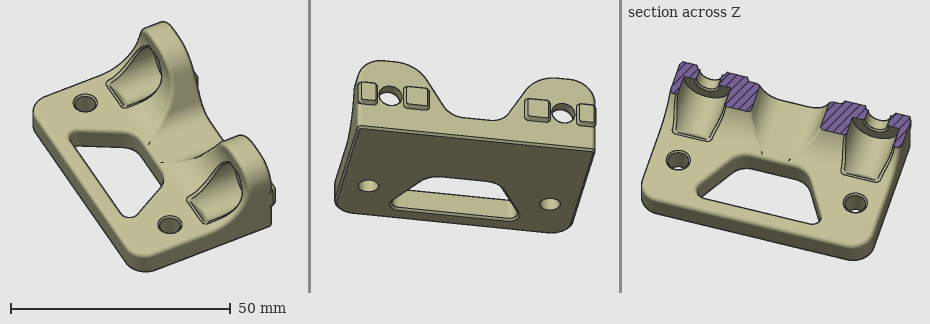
import cadquery as cq
import math

width = 55.0
depth = 35.0
height = 19.5
half_width = width / 2
plate_thickness = 6.0
wall_thickness = 6.0
blend_radius = 10.0
corner_radius = 5.0
edge_radius = 1.0
bottom_chamfer = 0.5

ear_outer_radius = 6.0
ear_inner_radius = 8.5
ear_slope = math.radians(60)
valley_half_width = 6.0
valley_radius = 5.0

bolt_x = 20.0
bolt_z = 9.5
bolt_diameter = 5.3
pocket_radius = 5.5
pocket_floor_y = -3.0
pocket_ramp_y = -15.8
pocket_ramp_fillet = 1.0
pocket_chamfer = 0.45

mount_x = 21.0
mount_y = -23.0
mount_diameter = 4.7
hole_chamfer = 0.4

opening_front_y = -31.0
opening_back_y = -17.0
opening_front_half_width = 16.0
opening_front_radius = 2.0
opening_back_radius = 5.0

pad_size = 6.0
pad_offset = 6.0
pad_height = 1.0
pad_corner_radius = 1.0
pad_taper = 30.0

sides = (-1, 1)


def make_side_profile():
    """Plate and wall seen along x, joined by a concave blend."""
    blend_y = -wall_thickness - blend_radius
    blend_z = plate_thickness + blend_radius
    reach = blend_radius * math.sqrt(0.5)
    return (
        cq.Workplane("YZ")
        .moveTo(0, 0)
        .lineTo(0, height)
        .lineTo(-wall_thickness, height)
        .lineTo(-wall_thickness, blend_z)
        .threePointArc((blend_y + reach, blend_z - reach), (blend_y, plate_thickness))
        .lineTo(-depth, plate_thickness)
        .lineTo(-depth, 0)
        .close()
        .extrude(half_width, both=True)
    )


def make_ear_outline():
    """Front outline with two ears, extruded over the whole depth."""
    rise = height - plate_thickness
    ear_inner_x = valley_half_width + rise / math.tan(ear_slope)
    block = cq.Workplane("XZ").polyline([
        (-half_width, 0),
        (half_width, 0),
        (half_width, height),
        (ear_inner_x, height),
        (valley_half_width, plate_thickness),
        (-valley_half_width, plate_thickness),
        (-ear_inner_x, height),
        (-half_width, height),
    ]).close().extrude(depth)
    corners = (
        (half_width, height, ear_outer_radius),
        (ear_inner_x, height, ear_inner_radius),
        (valley_half_width, plate_thickness, valley_radius),
    )
    for x, z, radius in corners:
        for side in sides:
            edge = cq.selectors.NearestToPointSelector((side * x, -depth / 2, z))
            block = block.edges("|Y").edges(edge).fillet(radius)
    return block


def make_body():
    """Plate and ears in one piece, with all the outer edges broken."""
    body = make_side_profile().intersect(make_ear_outline())
    body = body.edges("|Z and <Y").fillet(corner_radius)
    plate_front_edge = cq.selectors.NearestToPointSelector((0, -depth, plate_thickness))
    body = body.edges(plate_front_edge).fillet(edge_radius)
    body = body.faces(">Y").edges("not <Z").fillet(edge_radius)
    return body.faces("<Z").edges().chamfer(bottom_chamfer)


def make_opening_cutter():
    """Trapezoid as deep as the plate, flared to round the top edge and chamfer the bottom edge."""
    opening_depth = opening_back_y - opening_front_y
    back_half_width = opening_front_half_width - opening_depth / math.tan(ear_slope)
    cutter = cq.Workplane("XY").polyline([
        (-opening_front_half_width, opening_front_y),
        (opening_front_half_width, opening_front_y),
        (back_half_width, opening_back_y),
        (-back_half_width, opening_back_y),
    ]).close().extrude(plate_thickness)
    cutter = cutter.edges("|Z and <Y").fillet(opening_front_radius)
    cutter = cutter.edges("|Z and >Y").fillet(opening_back_radius)
    slab = cq.Workplane("XY").rect(width, 2 * depth).extrude(plate_thickness)
    top_edge = cq.selectors.NearestToPointSelector((0, opening_front_y, plate_thickness))
    bottom_edge = cq.selectors.NearestToPointSelector((0, opening_front_y, 0))
    rounded_slab = slab.cut(cutter).edges(top_edge).fillet(edge_radius)
    rounded_slab = rounded_slab.edges(bottom_edge).chamfer(bottom_chamfer)
    return slab.cut(rounded_slab)


def make_hole_cutter(diameter, length):
    """Round hole going down from z = 0, with a chamfered mouth."""
    hole = cq.Workplane("XY").circle(diameter / 2).extrude(-length)
    mouth = cq.Workplane("XY").circle(diameter / 2 + hole_chamfer)
    mouth = mouth.workplane(offset=-hole_chamfer).circle(diameter / 2).loft()
    return hole.union(mouth)


def cut_mounting_holes(body):
    cutter = make_hole_cutter(mount_diameter, plate_thickness)
    for side in sides:
        body = body.cut(cutter.translate((side * mount_x, mount_y, plate_thickness)))
    return body


def make_pocket_outline():
    """Round pocket outline with a flat roof on 45 degree flanks, extruded over the whole depth."""
    tangent = pocket_radius * math.sqrt(0.5)
    roof_half_width = pocket_radius * math.tan(math.pi / 8)
    return (
        cq.Workplane("XZ")
        .moveTo(-tangent, tangent)
        .threePointArc((0, -pocket_radius), (tangent, tangent))
        .lineTo(roof_half_width, pocket_radius)
        .lineTo(-roof_half_width, pocket_radius)
        .close()
        .extrude(depth)
        .translate((0, 0, bolt_z))
    )


def make_pocket_cutter():
    """Bolt head pocket that ends in the plate with a 45 degree ramp."""
    foot_z = bolt_z - pocket_radius
    foot_y = pocket_ramp_y + plate_thickness - foot_z
    ramp = (
        cq.Workplane("YZ")
        .moveTo(pocket_floor_y, plate_thickness + pocket_ramp_y - pocket_floor_y)
        .lineTo(pocket_ramp_y - pocket_chamfer, plate_thickness + pocket_chamfer)
        .lineTo(pocket_ramp_y - pocket_chamfer, height)
        .lineTo(pocket_floor_y, height)
        .close()
        .extrude(half_width, both=True)
    )
    ramp_foot = cq.selectors.NearestToPointSelector((0, foot_y, foot_z))
    return make_pocket_outline().intersect(ramp).edges(ramp_foot).fillet(pocket_ramp_fillet)


def cut_bolt_pockets(body):
    pocket = make_pocket_cutter()
    hole = make_hole_cutter(bolt_diameter, wall_thickness)
    hole = hole.rotate((0, 0, 0), (1, 0, 0), 90).translate((0, pocket_floor_y, bolt_z))
    for side in sides:
        x = side * bolt_x
        body = body.cut(pocket.translate((x, 0, 0)))
        mouth = cq.selectors.BoxSelector(
            (x - pocket_radius, pocket_ramp_y + edge_radius, plate_thickness),
            (x + pocket_radius, -wall_thickness, bolt_z + pocket_radius + edge_radius / 2),
        )
        body = body.edges(mouth).chamfer(pocket_chamfer)
        body = body.cut(hole.translate((x, 0, 0)))
    return body


def add_pad(body, x_min, x_max):
    """Rounded pad that stands on the back face with tapered sides."""
    outline = (
        cq.Sketch()
        .rect(x_max - x_min, pad_size)
        .vertices()
        .fillet(pad_corner_radius)
    )
    center = ((x_min + x_max) / 2, 0, bolt_z)
    plane = cq.Workplane(cq.Plane(origin=center, xDir=(1, 0, 0), normal=(0, 1, 0)))
    pad = plane.placeSketch(outline).extrude(pad_height, taper=pad_taper)
    root = plane.placeSketch(outline).extrude(-edge_radius)
    return body.union(root).union(pad)


def add_pads(body):
    for side in sides:
        inner = bolt_x - pad_offset
        outer = bolt_x + pad_offset
        spans = (
            (inner - pad_size / 2, inner + pad_size / 2),
            (outer - pad_size / 2, half_width),
        )
        for near, far in spans:
            body = add_pad(body, min(side * near, side * far), max(side * near, side * far))
    return body


result = make_body()
result = result.cut(make_opening_cutter())
result = cut_mounting_holes(result)
result = cut_bolt_pockets(result)
result = add_pads(result)